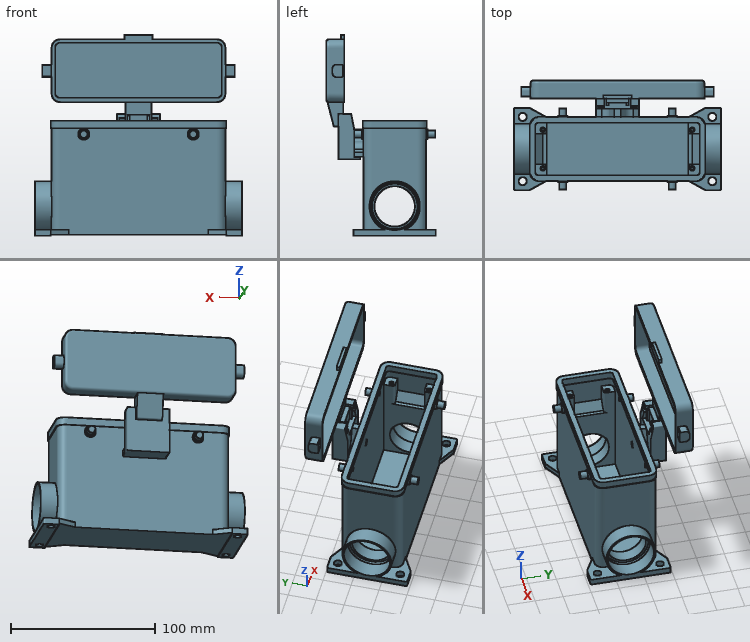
import cadquery as cq

TOTAL_LENGTH = 144.0
BODY_LENGTH = 120.8
BODY_WIDTH = 43.5
BODY_CORNER = 5.9
BODY_BOTTOM = 0.7
RIM_BOTTOM = 74.7
RIM_TOP = 80.0
RIM_OVERHANG = 0.6
FLOOR_TOP = 4.3

CAVITY_LENGTH = 114.0
CAVITY_WIDTH = 36.3
MOUTH_CORNER = 2.2
CAVITY_CORNER = 2.9
CAVITY_UNDERCUT = 0.3

END_WALL_FACE = 49.2
END_LEDGE_EDGE = 52.0
END_LEDGE_Z = 51.3
END_SLOPE_TOP = 57.3
POST_WIDTH = 7.6
POST_TOP = 68.8
POST_CORNER = 1.7
POST_HOLE_X = 51.8
POST_HOLE_Y = 13.4
POST_HOLE_DIAMETER = 2.0
POST_SINK_DIAMETER = 3.3
POST_HOLE_DEPTH = 11.5

ENTRY_Z = 20.5
ENTRY_DIAMETER = 35.1
ENTRY_SOCKET_DIAMETER = 33.0
ENTRY_BORE_DIAMETER = 28.0
ENTRY_SOCKET_DEPTH = 13.0
ENTRY_TAPER_DIAMETER = 31.4
ENTRY_TAPER_LENGTH = 1.5

FLANGE_WIDTH = 57.3
FLANGE_TOP = 4.3
FLANGE_SHOULDER_X = 61.0
FLANGE_INNER_X = 48.5
FLANGE_CORNER = 1.2
FLANGE_HOLE_X = 65.8
FLANGE_HOLE_Y = 22.3
FLANGE_HOLE_DIAMETER = 5.5

PEG_X = 38.0
PEG_Z = 70.5
PEG_TIP_Y = 28.2
PEG_DIAMETER = 5.2
PEG_FOOT_DIAMETER = 7.8
PEG_NECK_DIAMETER = 6.3
PEG_FOOT_HEIGHT = 1.3
PEG_HOLE_DIAMETER = 2.9
WALL_HOLE_DEPTH = 1.5

HINGE_WIDTH = 30.0
HINGE_FACE_Y = 28.1
PEDESTAL_BOTTOM = 54.9
PEDESTAL_EDGE_TOP = 57.9
PEDESTAL_TOP = 74.2
PEDESTAL_TOP_WIDTH = 4.6
PEDESTAL_NECK_X = 5.2
PEDESTAL_FLARE_Z = 60.2
PEDESTAL_FLARE_RADIUS = 5.8
PEDESTAL_HOLE_Z = 59.8
PEDESTAL_HOLE_DIAMETER = 4.3

LID_LENGTH = 120.8
LID_BOTTOM = 92.7
LID_TOP = 136.5
LID_FRONT = 35.0
LID_BACK = 47.7
LID_CORNER = 6.0
LID_BACK_FILLET = 2.0
LID_WALL = 2.5
LID_FLOOR_WALL = 2.9
LID_LOWER_WALL = 3.0

TAB_WIDTH = 19.6
TAB_TOP = 139.5
TAB_THICKNESS = 2.3

EAR_SPAN = 133.9
EAR_BOTTOM = 110.2
EAR_TOP = 119.0
EAR_FRONT = 36.1
EAR_BACK = 43.2
EAR_ROUND = 2.7
EAR_CHAMFER = 0.6

STRAP_WIDTH = 18.3
STRAP_FRONT = 35.5
STRAP_BOTTOM = 75.9
STRAP_FILLET = 0.9
STRAP_BOTTOM_BACK = 42.3
STRAP_ROOT_Z = 96.5

HINGE_BOTTOM = 53.1
HINGE_TOP = 84.7
HINGE_BACK = 39.2
HINGE_TOP_FRONT = 30.1
HINGE_EDGE_FILLET = 0.6
HINGE_LIP_FRONT = 23.8
HINGE_LIP_THICKNESS = 1.5
KNUCKLE_WIDTH = 15.5
KNUCKLE_TOP_FRONT = 32.0
KNUCKLE_FRONT = 30.5
KNUCKLE_TOP = 84.1
PANEL_WIDTH = 11.8
KNUCKLE_STEP_Z = 83.2
POCKET_OUTER_X = 13.2
POCKET_ROOF = 82.1
POCKET_BACK = 32.1
POCKET_BACK_FLOOR = 81.4
POCKET_FRONT_FLOOR = 78.3

SIDES = (-1, 1)
CAVITY_END = CAVITY_LENGTH / 2 + CAVITY_UNDERCUT
CAVITY_SIDE = CAVITY_WIDTH / 2 + CAVITY_UNDERCUT


def block(x_range, y_range, z_range):
    """Box between two limits on each axis."""
    limits = (x_range, y_range, z_range)
    size = [high - low for low, high in limits]
    corner = [low for low, high in limits]
    return cq.Workplane("XY").box(*size, centered=False).translate(tuple(corner))


def rounded_block(length, width, corner, bottom, top):
    """Box centred on the Z axis with rounded upright edges."""
    plan = cq.Workplane("XY").workplane(offset=bottom).rect(length, width)
    return plan.extrude(top - bottom).edges("|Z").fillet(corner)


def cylinder(diameter, start, direction, length):
    """Cylinder from a start point along a direction."""
    return cq.Workplane(
        cq.Solid.makeCylinder(diameter / 2, length, cq.Vector(*start), cq.Vector(*direction))
    )


def cone(start_diameter, end_diameter, start, direction, length):
    """Truncated cone from a start point along a direction."""
    return cq.Workplane(
        cq.Solid.makeCone(
            start_diameter / 2, end_diameter / 2, length, cq.Vector(*start), cq.Vector(*direction)
        )
    )


def side_profile(points, width):
    """Extrude a Y-Z outline to both sides of the middle plane."""
    return cq.Workplane("YZ").polyline(points).close().extrude(width / 2, both=True)


def make_outer_body():
    body = rounded_block(BODY_LENGTH, BODY_WIDTH, BODY_CORNER, BODY_BOTTOM, RIM_TOP)
    rim = rounded_block(
        BODY_LENGTH + 2 * RIM_OVERHANG,
        BODY_WIDTH + 2 * RIM_OVERHANG,
        BODY_CORNER + RIM_OVERHANG,
        RIM_BOTTOM,
        RIM_TOP,
    )
    return body.union(rim)


def make_cavity():
    mouth = rounded_block(CAVITY_LENGTH, CAVITY_WIDTH, MOUTH_CORNER, RIM_BOTTOM, RIM_TOP)
    chamber = rounded_block(2 * CAVITY_END, 2 * CAVITY_SIDE, CAVITY_CORNER, FLOOR_TOP, RIM_BOTTOM)
    return chamber.union(mouth)


def make_flange(side):
    """Mounting flange with a thin pad under its outer part."""
    half = FLANGE_WIDTH / 2
    end = TOTAL_LENGTH / 2
    outline = [
        (side * end, half),
        (side * FLANGE_SHOULDER_X, half),
        (side * FLANGE_INNER_X, BODY_WIDTH / 2),
        (side * FLANGE_INNER_X, -BODY_WIDTH / 2),
        (side * FLANGE_SHOULDER_X, -half),
        (side * end, -half),
    ]
    plate = cq.Workplane("XY").polyline(outline).close().extrude(FLANGE_TOP)
    inner_x, shoulder_x = sorted((0, side * FLANGE_SHOULDER_X))
    clearance = block((inner_x, shoulder_x), (-half, half), (0, BODY_BOTTOM))
    plate = plate.cut(clearance)
    outer_edges = plate.faces(">X" if side > 0 else "<X").edges("|Z")
    return outer_edges.fillet(FLANGE_CORNER)


def make_flange_holes():
    holes = cq.Workplane("XY").rect(2 * FLANGE_HOLE_X, 2 * FLANGE_HOLE_Y, forConstruction=True)
    return holes.vertices().circle(FLANGE_HOLE_DIAMETER / 2).extrude(FLANGE_TOP)


def make_entry_tube(side):
    start = (side * END_WALL_FACE, 0, ENTRY_Z)
    length = TOTAL_LENGTH / 2 - END_WALL_FACE
    return cylinder(ENTRY_DIAMETER, start, (side, 0, 0), length)


def make_entry_bore(side):
    """Stepped bore: wide socket with a tapered bottom, then a narrower hole through the wall."""
    end = TOTAL_LENGTH / 2
    taper_start = end - ENTRY_SOCKET_DEPTH + ENTRY_TAPER_LENGTH
    inward = (-side, 0, 0)
    face_center = (side * end, 0, ENTRY_Z)
    taper_center = (side * taper_start, 0, ENTRY_Z)
    bore = cylinder(ENTRY_BORE_DIAMETER, face_center, inward, end - END_WALL_FACE)
    socket = cylinder(ENTRY_SOCKET_DIAMETER, face_center, inward, end - taper_start)
    taper = cone(ENTRY_SOCKET_DIAMETER, ENTRY_TAPER_DIAMETER, taper_center, inward, ENTRY_TAPER_LENGTH)
    return bore.union(socket).union(taper)


def make_end_wall(side):
    """Thick lower end wall with a ledge and a sloping shoulder."""
    outline = [
        (side * END_WALL_FACE, BODY_BOTTOM),
        (side * END_WALL_FACE, END_LEDGE_Z),
        (side * END_LEDGE_EDGE, END_LEDGE_Z),
        (side * CAVITY_END, END_SLOPE_TOP),
        (side * CAVITY_END, BODY_BOTTOM),
    ]
    return cq.Workplane("XZ").polyline(outline).close().extrude(CAVITY_SIDE, both=True)


def make_post(x_side, y_side):
    """Corner post with a rounded free edge and a countersunk screw hole."""
    x_range = sorted((x_side * END_WALL_FACE, x_side * CAVITY_END))
    inner_y = CAVITY_WIDTH / 2 - POST_WIDTH
    y_range = sorted((y_side * inner_y, y_side * CAVITY_SIDE))
    post = block(x_range, y_range, (FLOOR_TOP, POST_TOP))
    free_edge = cq.selectors.NearestToPointSelector(
        (x_side * END_WALL_FACE, y_side * inner_y, (FLOOR_TOP + POST_TOP) / 2)
    )
    post = post.edges("|Z").edges(free_edge).fillet(POST_CORNER)
    hole_top = (x_side * POST_HOLE_X, y_side * POST_HOLE_Y, POST_TOP)
    down = (0, 0, -1)
    hole = cylinder(POST_HOLE_DIAMETER, hole_top, down, POST_HOLE_DEPTH)
    countersink_depth = (POST_SINK_DIAMETER - POST_HOLE_DIAMETER) / 2
    countersink = cone(POST_SINK_DIAMETER, POST_HOLE_DIAMETER, hole_top, down, countersink_depth)
    return post.cut(hole).cut(countersink)


def make_peg(x_side, y_side):
    """Round locking peg on a conical foot."""
    foot_center = (x_side * PEG_X, y_side * BODY_WIDTH / 2, PEG_Z)
    outward = (0, y_side, 0)
    foot = cone(PEG_FOOT_DIAMETER, PEG_NECK_DIAMETER, foot_center, outward, PEG_FOOT_HEIGHT)
    shaft = cylinder(PEG_DIAMETER, foot_center, outward, PEG_TIP_Y - BODY_WIDTH / 2)
    return shaft.union(foot)


def make_wall_hole(x, z, y_side, diameter):
    """Blind round hole sunk into a long side wall from inside the cavity."""
    return cylinder(diameter, (x, y_side * CAVITY_SIDE, z), (0, y_side, 0), WALL_HOLE_DEPTH)


def make_pedestal():
    """Flared block on the rear wall that carries the hinge."""
    flare = PEDESTAL_FLARE_RADIUS
    half = (
        cq.Workplane("XZ", origin=(0, HINGE_FACE_Y, 0))
        .moveTo(0, PEDESTAL_BOTTOM)
        .lineTo(HINGE_WIDTH / 2, PEDESTAL_BOTTOM)
        .lineTo(HINGE_WIDTH / 2, PEDESTAL_EDGE_TOP)
        .lineTo(PEDESTAL_NECK_X + flare, PEDESTAL_FLARE_Z)
        .radiusArc((PEDESTAL_NECK_X, PEDESTAL_FLARE_Z + flare), flare)
        .lineTo(PEDESTAL_TOP_WIDTH / 2, PEDESTAL_TOP)
        .lineTo(0, PEDESTAL_TOP)
        .close()
        .extrude(HINGE_FACE_Y - BODY_WIDTH / 2)
    )
    return half.union(half.mirror("YZ"))


def make_housing():
    housing = make_outer_body().cut(make_cavity()).union(make_pedestal())
    for x_side in SIDES:
        housing = housing.union(make_flange(x_side))
        housing = housing.union(make_end_wall(x_side))
        housing = housing.union(make_entry_tube(x_side))
        for y_side in SIDES:
            housing = housing.union(make_post(x_side, y_side))
            housing = housing.union(make_peg(x_side, y_side))
            housing = housing.cut(make_wall_hole(x_side * PEG_X, PEG_Z, y_side, PEG_HOLE_DIAMETER))
        housing = housing.cut(make_entry_bore(x_side))
    housing = housing.cut(make_wall_hole(0, PEDESTAL_HOLE_Z, 1, PEDESTAL_HOLE_DIAMETER))
    return housing.cut(make_flange_holes())


def make_lid_shell():
    """Shallow tray, open toward -Y, with a rounded back edge."""
    half = LID_LENGTH / 2
    tray = block((-half, half), (LID_FRONT, LID_BACK), (LID_BOTTOM, LID_TOP))
    tray = tray.edges("|Y").fillet(LID_CORNER).faces(">Y").edges().fillet(LID_BACK_FILLET)
    inner_half = half - LID_WALL
    recess = block(
        (-inner_half, inner_half),
        (LID_FRONT, LID_BACK - LID_FLOOR_WALL),
        (LID_BOTTOM + LID_LOWER_WALL, LID_TOP - LID_WALL),
    )
    return tray.cut(recess.edges("|Y").fillet(LID_CORNER - LID_WALL))


def make_tab():
    half = TAB_WIDTH / 2
    return block(
        (-half, half), (LID_FRONT, LID_FRONT + TAB_THICKNESS), (LID_TOP - LID_WALL, TAB_TOP)
    )


def make_ear(side):
    """D-shaped locking ear at one end of the lid."""
    x_range = sorted((side * (LID_LENGTH - LID_WALL) / 2, side * EAR_SPAN / 2))
    ear = block(x_range, (EAR_FRONT, EAR_BACK), (EAR_BOTTOM, EAR_TOP))
    ear = ear.faces(">Y").edges("|X").fillet(EAR_ROUND)
    return ear.faces("<Y").edges("|X").chamfer(EAR_CHAMFER)


def make_strap():
    """Tapered strap between the lid and the hinge."""
    outline = [
        (STRAP_FRONT, LID_BOTTOM + LID_LOWER_WALL),
        (STRAP_FRONT, STRAP_BOTTOM),
        (STRAP_BOTTOM_BACK, STRAP_BOTTOM),
        (LID_BACK, STRAP_ROOT_Z),
        (LID_BACK - LID_FLOOR_WALL, STRAP_ROOT_Z),
        (LID_BACK - LID_FLOOR_WALL, LID_BOTTOM + LID_LOWER_WALL),
    ]
    strap = side_profile(outline, STRAP_WIDTH)
    return strap.faces("<Z").edges(">Y").fillet(STRAP_FILLET)


def make_hinge_block():
    """Hinge block with sloping cheek fronts and a lip below the pedestal."""
    lip_top = HINGE_BOTTOM + HINGE_LIP_THICKNESS
    outline = [
        (HINGE_BACK, HINGE_BOTTOM),
        (HINGE_BACK, HINGE_TOP),
        (HINGE_TOP_FRONT, HINGE_TOP),
        (HINGE_FACE_Y, PEDESTAL_TOP),
        (HINGE_FACE_Y, lip_top),
        (HINGE_LIP_FRONT, lip_top),
        (HINGE_LIP_FRONT, HINGE_BOTTOM),
    ]
    hinge = side_profile(outline, HINGE_WIDTH)
    rounded_edges = hinge.faces(">Y or >Z or <Z").edges("#X").edges("<X or >X")
    return rounded_edges.fillet(HINGE_EDGE_FILLET)


def make_channel():
    """Space between the cheeks in front of the knuckle."""
    half = STRAP_WIDTH / 2
    knuckle_half = KNUCKLE_WIDTH / 2
    panel_half = PANEL_WIDTH / 2
    open_space = block((-half, half), (HINGE_FACE_Y, STRAP_FRONT), (PEDESTAL_TOP, HINGE_TOP))
    knuckle_top = block(
        (-knuckle_half, knuckle_half), (KNUCKLE_TOP_FRONT, STRAP_FRONT), (PEDESTAL_TOP, KNUCKLE_TOP)
    )
    knuckle_front = block(
        (-knuckle_half, knuckle_half), (KNUCKLE_FRONT, STRAP_FRONT), (PEDESTAL_TOP, KNUCKLE_STEP_Z)
    )
    panel = block(
        (-panel_half, panel_half), (KNUCKLE_FRONT, KNUCKLE_TOP_FRONT), (PEDESTAL_TOP, KNUCKLE_STEP_Z)
    )
    return open_space.cut(knuckle_top).cut(knuckle_front).union(panel)


def make_cheek_pocket(side):
    """Pocket with a sloping floor in the front of one cheek, closed by its outer wall."""
    outline = [
        (HINGE_FACE_Y, POCKET_ROOF),
        (POCKET_BACK, POCKET_ROOF),
        (POCKET_BACK, POCKET_BACK_FLOOR),
        (HINGE_FACE_Y, POCKET_FRONT_FLOOR),
    ]
    origin = (side * STRAP_WIDTH / 2, 0, 0)
    profile = cq.Workplane("YZ", origin=origin).polyline(outline).close()
    return profile.extrude(side * (POCKET_OUTER_X - STRAP_WIDTH / 2))


def make_cover():
    hinge = make_hinge_block().cut(make_channel())
    for side in SIDES:
        hinge = hinge.cut(make_cheek_pocket(side))
    cover = make_lid_shell().union(make_tab()).union(make_strap()).union(hinge)
    for side in SIDES:
        cover = cover.union(make_ear(side))
    return cover


housing = make_housing()
cover = make_cover()

result = cq.Compound.makeCompound([housing.solids().val(), cover.solids().val()])